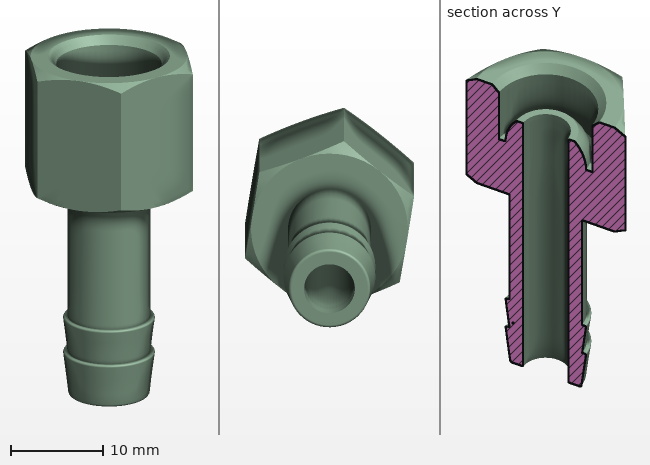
import cadquery as cq
import math

TOTAL_LENGTH = 39.0
THROUGH_BORE_DIAMETER = 5.5

HEX_ACROSS_FLATS = 17.0
HEX_HEIGHT = 15.0
HEX_CHAMFER_ANGLE = 30.0

SOCKET_DIAMETER = 11.45
SOCKET_MOUTH_DIAMETER = 13.2
SEAT_TIP_DEPTH = 4.0
SEAT_DIAMETER = 10.0
SEAT_HEIGHT = 3.5

SHANK_DIAMETER = 9.0
BARB_DIAMETER = 10.0
BARB_TAPER_ANGLE = 7.0
LOWER_BARB_TOP = 5.0
UPPER_BARB_TOP = 9.0
BARB_RIM_RADIUS = 0.2
TAIL_EDGE_RADIUS = 0.3

HEX_ACROSS_CORNERS = HEX_ACROSS_FLATS / math.cos(math.radians(30))
HEX_BOTTOM = TOTAL_LENGTH - HEX_HEIGHT
MOUTH_CHAMFER = (SOCKET_MOUTH_DIAMETER - SOCKET_DIAMETER) / 2
SEAT_RADIUS = SEAT_DIAMETER / 2
SEAT_TIP_RADIUS = math.sqrt(SEAT_RADIUS**2 - SEAT_HEIGHT**2)
SEAT_TIP_Z = TOTAL_LENGTH - SEAT_TIP_DEPTH
SEAT_BASE_Z = SEAT_TIP_Z - SEAT_HEIGHT


def revolve_about_z(profile):
    """Turn a closed profile, drawn as (radius, height), about the Z axis."""
    return profile.close().revolve(360, (0, 0, 0), (0, 1, 0))


def hex_head():
    """Hexagonal prism with both ends turned down to a circle touching the flats."""
    hexagon = (
        cq.Workplane("XY")
        .workplane(offset=HEX_BOTTOM)
        .polygon(6, HEX_ACROSS_CORNERS)
        .extrude(HEX_HEIGHT)
    )
    flat_radius = HEX_ACROSS_FLATS / 2
    outer_radius = HEX_ACROSS_CORNERS
    drop = (outer_radius - flat_radius) * math.tan(math.radians(HEX_CHAMFER_ANGLE))
    envelope = (
        cq.Workplane("XZ")
        .moveTo(0, HEX_BOTTOM)
        .lineTo(flat_radius, HEX_BOTTOM)
        .lineTo(outer_radius, HEX_BOTTOM + drop)
        .lineTo(outer_radius, TOTAL_LENGTH - drop)
        .lineTo(flat_radius, TOTAL_LENGTH)
        .lineTo(0, TOTAL_LENGTH)
    )
    return hexagon.intersect(revolve_about_z(envelope))


def socket():
    """Socket cavity down to the base of the seat, with a 45 degree mouth chamfer."""
    profile = (
        cq.Workplane("XZ")
        .moveTo(0, SEAT_BASE_Z)
        .lineTo(SOCKET_DIAMETER / 2, SEAT_BASE_Z)
        .lineTo(SOCKET_DIAMETER / 2, TOTAL_LENGTH - MOUTH_CHAMFER)
        .lineTo(SOCKET_MOUTH_DIAMETER / 2, TOTAL_LENGTH)
        .lineTo(0, TOTAL_LENGTH)
    )
    return revolve_about_z(profile)


def ball_seat():
    """Half ball rising from the socket floor, cut flat at its tip."""
    middle_angle = math.atan2(SEAT_HEIGHT, SEAT_TIP_RADIUS) / 2
    arc_middle = (
        SEAT_RADIUS * math.cos(middle_angle),
        SEAT_BASE_Z + SEAT_RADIUS * math.sin(middle_angle),
    )
    profile = (
        cq.Workplane("XZ")
        .moveTo(0, SEAT_BASE_Z)
        .lineTo(SEAT_RADIUS, SEAT_BASE_Z)
        .threePointArc(arc_middle, (SEAT_TIP_RADIUS, SEAT_TIP_Z))
        .lineTo(0, SEAT_TIP_Z)
    )
    return revolve_about_z(profile)


def barb(bottom, top):
    """Cone that widens upwards to a crest with a rounded rim."""
    top_radius = BARB_DIAMETER / 2
    bottom_radius = top_radius - (top - bottom) * math.tan(math.radians(BARB_TAPER_ANGLE))
    profile = (
        cq.Workplane("XZ")
        .moveTo(0, bottom)
        .lineTo(bottom_radius, bottom)
        .lineTo(top_radius, top)
        .lineTo(0, top)
    )
    return revolve_about_z(profile).faces(">Z").edges().fillet(BARB_RIM_RADIUS)


def hose_tail():
    """Plain shank above two stacked barbs, with the lowest edge rounded."""
    tail = barb(0, LOWER_BARB_TOP).faces("<Z").edges().fillet(TAIL_EDGE_RADIUS)
    shank = (
        cq.Workplane("XY")
        .workplane(offset=UPPER_BARB_TOP)
        .circle(SHANK_DIAMETER / 2)
        .extrude(HEX_BOTTOM - UPPER_BARB_TOP)
    )
    return tail.union(barb(LOWER_BARB_TOP, UPPER_BARB_TOP)).union(shank)


through_bore = cq.Workplane("XY").circle(THROUGH_BORE_DIAMETER / 2).extrude(TOTAL_LENGTH)

result = hex_head().cut(socket()).union(ball_seat()).union(hose_tail()).cut(through_bore)